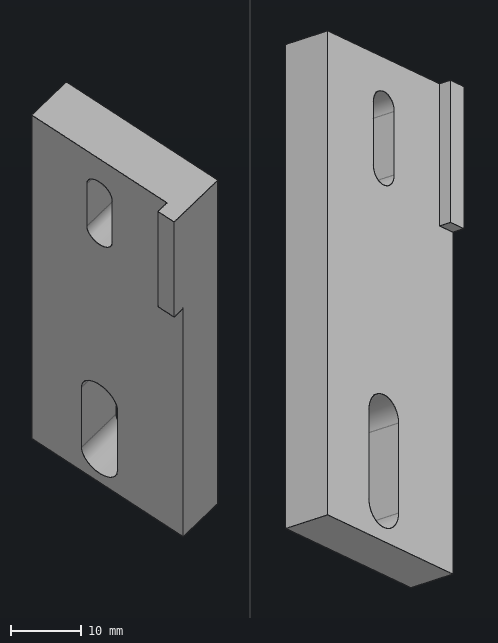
import cadquery as cq

width = 28.0
height = 75.0
overall_depth = 9.8
plate_depth = 7.8

rib_width = 3.0
rib_height = 22.05

slot_center_x = 12.5
upper_slot_width = 4.65
upper_slot_length = 14.5
upper_slot_top_margin = 5.3
lower_slot_width = 6.6
lower_slot_length = 20.55
lower_slot_bottom_margin = 2.2


def box_from_corner(x, y, z, size_x, size_y, size_z):
    """Box whose minimum corner is at (x, y, z)."""
    return cq.Workplane("XY").box(size_x, size_y, size_z, centered=False).translate((x, y, z))


def slot_cutter(center_z, length, slot_width):
    """Upright round-ended slot running through the full plate depth."""
    return (
        cq.Workplane("XZ")
        .center(slot_center_x, center_z)
        .slot2D(length, slot_width, 90)
        .extrude(-overall_depth)
    )


rib_projection = overall_depth - plate_depth
plate = box_from_corner(0, rib_projection, 0, width, plate_depth, height)
rib = box_from_corner(
    width - rib_width, 0, height - rib_height, rib_width, overall_depth, rib_height
)

upper_slot_z = height - upper_slot_top_margin - upper_slot_length / 2
lower_slot_z = lower_slot_bottom_margin + lower_slot_length / 2

result = (
    plate.union(rib)
    .cut(slot_cutter(upper_slot_z, upper_slot_length, upper_slot_width))
    .cut(slot_cutter(lower_slot_z, lower_slot_length, lower_slot_width))
)